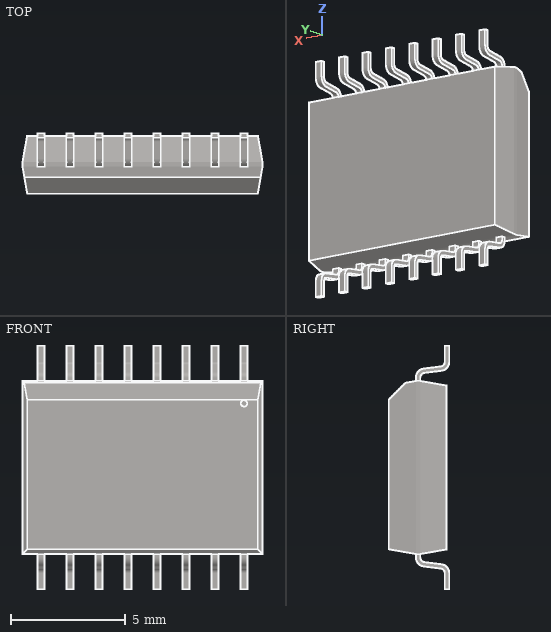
import cadquery as cq
import math


LEAD_SPAN = 10.65
BODY_WIDTH = 10.5
BODY_HEIGHT = 7.57
FRONT_FACE_DEPTH = 1.29
BACK_FACE_DEPTH = 1.25
FOOT_DEPTH = 1.36
DRAFT_ANGLE = 10.0

BEVEL_SIZE = 0.73

DIMPLE_RADIUS = 0.14
DIMPLE_DEPTH = 0.1
DIMPLE_GAP = 0.17

LEADS_PER_SIDE = 8
LEAD_PITCH = 1.27
LEAD_WIDTH = 0.32
LEAD_THICKNESS = 0.2
LEAD_SLOPE = 7.2
SHOULDER_HEIGHT = 4.2
INNER_BEND_RADIUS = 0.19
LEAD_EMBEDMENT = 0.53

HALF_THICKNESS = LEAD_THICKNESS / 2
OUTER_BEND_RADIUS = INNER_BEND_RADIUS + LEAD_THICKNESS
FRONT_DRAFT_DEPTH = FRONT_FACE_DEPTH - HALF_THICKNESS
BACK_DRAFT_DEPTH = BACK_FACE_DEPTH - HALF_THICKNESS
BEVEL_START_DEPTH = FRONT_FACE_DEPTH - BEVEL_SIZE
BEVEL_TOP_INSET = (BEVEL_START_DEPTH - HALF_THICKNESS) * math.tan(math.radians(DRAFT_ANGLE))
BEVEL_TOP_Z = BODY_HEIGHT / 2 - BEVEL_TOP_INSET
BEVEL_BOTTOM_Z = BEVEL_TOP_Z - BEVEL_SIZE
LAST_LEAD_X = LEAD_PITCH * (LEADS_PER_SIDE - 1) / 2


def body_slab(start_y, depth, taper=0.0):
    """Rectangular body layer from start_y; positive depth grows toward -Y."""
    return (
        cq.Workplane("XZ", origin=(0, start_y, 0))
        .rect(BODY_WIDTH, BODY_HEIGHT)
        .extrude(depth, taper=taper)
    )


def make_body():
    """Straight parting band with a drafted half on each side."""
    band = body_slab(HALF_THICKNESS, LEAD_THICKNESS)
    front_half = body_slab(-HALF_THICKNESS, FRONT_DRAFT_DEPTH, DRAFT_ANGLE)
    back_half = body_slab(HALF_THICKNESS, -BACK_DRAFT_DEPTH, DRAFT_ANGLE)
    return band.union(front_half).union(back_half)


def make_bevel_cutter():
    """Triangular prism above the bevel; its slope is extended past the body on both ends."""
    reach = BEVEL_SIZE
    upper = (-BEVEL_START_DEPTH + reach, BEVEL_TOP_Z + reach)
    lower = (-FRONT_FACE_DEPTH - reach, BEVEL_BOTTOM_Z - reach)
    corner = (lower[0], upper[1])
    return cq.Workplane("YZ").polyline([upper, lower, corner]).close().extrude(BODY_WIDTH / 2, both=True)


def make_dimple():
    """Shallow round pocket in the marked face, in line with the last lead on the +X end."""
    centre = (LAST_LEAD_X, -FRONT_FACE_DEPTH, BEVEL_BOTTOM_Z - DIMPLE_GAP)
    return cq.Workplane("XZ", origin=centre).circle(DIMPLE_RADIUS).extrude(-DIMPLE_DEPTH)


def make_lead():
    """One upper gull-wing lead centred on X = 0: shank, shoulder bend, sloping run, foot."""
    tip_z = LEAD_SPAN / 2
    root_z = BODY_HEIGHT / 2 - LEAD_EMBEDMENT
    foot_inner_y = FOOT_DEPTH - LEAD_THICKNESS
    foot_middle_y = FOOT_DEPTH - HALF_THICKNESS
    foot_bend_z = SHOULDER_HEIGHT + foot_middle_y * math.tan(math.radians(LEAD_SLOPE))
    mitre = HALF_THICKNESS * math.tan(math.radians((90 - LEAD_SLOPE) / 2))

    shoulder_outer = (-HALF_THICKNESS, SHOULDER_HEIGHT + mitre)
    shoulder_inner = (HALF_THICKNESS, SHOULDER_HEIGHT - mitre)
    foot_inner = (foot_inner_y, foot_bend_z + mitre)
    foot_outer = (FOOT_DEPTH, foot_bend_z - mitre)
    outline = [
        (-HALF_THICKNESS, root_z),
        shoulder_outer,
        foot_inner,
        (foot_inner_y, tip_z),
        (FOOT_DEPTH, tip_z),
        foot_outer,
        shoulder_inner,
        (HALF_THICKNESS, root_z),
    ]
    lead = cq.Workplane("YZ").polyline(outline).close().extrude(LEAD_WIDTH / 2, both=True)

    bends = [
        (shoulder_outer, OUTER_BEND_RADIUS),
        (shoulder_inner, INNER_BEND_RADIUS),
        (foot_outer, OUTER_BEND_RADIUS),
        (foot_inner, INNER_BEND_RADIUS),
    ]
    for (y, z), radius in bends:
        corner_edge = cq.selectors.NearestToPointSelector((0, y, z))
        lead = lead.edges("|X").edges(corner_edge).fillet(radius)
    return lead


result = make_body().cut(make_bevel_cutter()).cut(make_dimple())

upper_lead = make_lead()
lower_lead = upper_lead.mirror("XY")
for index in range(LEADS_PER_SIDE):
    lead_x = index * LEAD_PITCH - LAST_LEAD_X
    for lead in (upper_lead, lower_lead):
        result = result.union(lead.translate((lead_x, 0, 0)))